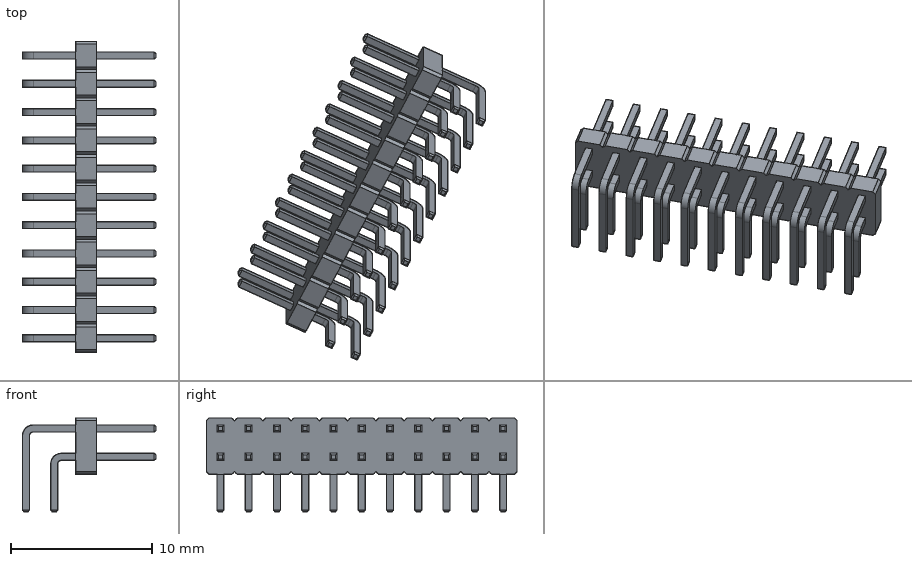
import cadquery as cq

columns = 11
header_length = 22.0
pitch = header_length / columns
overall_width = 9.45
overall_height = 6.65

housing_thickness = 1.5
housing_height = 2 * pitch
housing_left = 3.76
notch_depth = 0.2

pin_size = 0.5
bend_outer_radius = 0.77
tip_inset = 0.1
tip_length = 0.13
top_row_drop = 0.75

bend_inner_radius = bend_outer_radius - pin_size
housing_bottom = overall_height - housing_height
upper_row_z = overall_height - top_row_drop


def make_housing():
    """Bar along Y with a 45 degree V groove cut along every column boundary, top and bottom."""
    bar = cq.Workplane("XY").box(
        housing_thickness, header_length, housing_height, centered=(False, True, False)
    ).translate((housing_left, 0, housing_bottom))
    boundaries = [i * pitch - header_length / 2 for i in range(columns + 1)]
    edges = [(y, z) for y in boundaries for z in (housing_bottom, overall_height)]
    grooves = (
        cq.Workplane("YZ", origin=(housing_left, 0, 0))
        .pushPoints(edges)
        .polygon(4, 2 * notch_depth)
        .extrude(housing_thickness)
    )
    return bar.cut(grooves)


def make_tip(base, direction):
    """Tapered pin end growing from the point base along direction."""
    plane = cq.Plane(origin=base, xDir=(0, 1, 0), normal=direction)
    end_size = pin_size - 2 * tip_inset
    return (
        cq.Workplane(plane)
        .rect(pin_size, pin_size)
        .workplane(offset=tip_length)
        .rect(end_size, end_size)
        .loft(ruled=True)
    )


def make_pin(leg_left, row_z):
    """L-shaped square pin at Y = 0: leg pointing down, mating arm pointing to +X."""
    leg_right = leg_left + pin_size
    arm_top = row_z + pin_size / 2
    arm_bottom = row_z - pin_size / 2
    arm_end = overall_width - tip_length
    leg_end = tip_length
    bend_x = leg_left + bend_outer_radius
    bend_z = arm_top - bend_outer_radius
    body = (
        cq.Workplane("XZ")
        .moveTo(leg_left, leg_end)
        .lineTo(leg_left, bend_z)
        .radiusArc((bend_x, arm_top), bend_outer_radius)
        .lineTo(arm_end, arm_top)
        .lineTo(arm_end, arm_bottom)
        .lineTo(bend_x, arm_bottom)
        .radiusArc((leg_right, bend_z), -bend_inner_radius)
        .lineTo(leg_right, leg_end)
        .close()
        .extrude(pin_size / 2, both=True)
    )
    leg_tip = make_tip((leg_left + pin_size / 2, 0, leg_end), (0, 0, -1))
    arm_tip = make_tip((arm_end, 0, row_z), (1, 0, 0))
    return body.union(leg_tip).union(arm_tip)


upper_pin = make_pin(0, upper_row_z)
lower_pin = make_pin(pitch, upper_row_z - pitch)

result = make_housing()
for column in range(columns):
    column_y = (column - (columns - 1) / 2) * pitch
    for pin in (upper_pin, lower_pin):
        result = result.union(pin.translate((0, column_y, 0)))